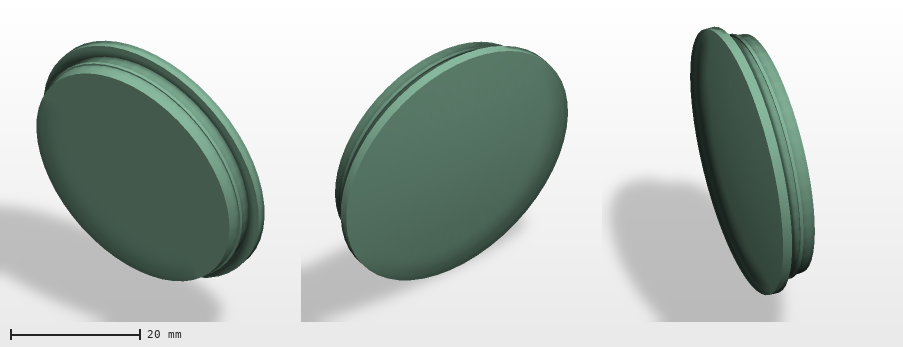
import cadquery as cq
import math


rim_radius = 42.4 / 2
ring_radius = 19.5
neck_radius = 19.2
plug_end_radius = 19.0

dome_height = 1.5
rim_thickness = 1.5
neck_length = 2.0
ring_width = 0.5
plug_length = 2.05

ring_front = plug_length
ring_back = ring_front + ring_width
rim_front = ring_back + neck_length
rim_back = rim_front + rim_thickness
dome_top = rim_back + dome_height

sphere_radius = (rim_radius**2 + dome_height**2) / (2 * dome_height)
dome_mid_radius = rim_radius / 2
dome_mid = dome_top - sphere_radius + math.sqrt(sphere_radius**2 - dome_mid_radius**2)

half_section = (
    cq.Workplane("YZ")
    .moveTo(0, 0)
    .lineTo(0, plug_end_radius)
    .lineTo(ring_front, neck_radius)
    .lineTo(ring_front, ring_radius)
    .lineTo(ring_back, ring_radius)
    .lineTo(ring_back, neck_radius)
    .lineTo(rim_front, neck_radius)
    .lineTo(rim_front, rim_radius)
    .lineTo(rim_back, rim_radius)
    .threePointArc((dome_mid, dome_mid_radius), (dome_top, 0))
    .close()
)

result = half_section.revolve(360, (0, 0, 0), (1, 0, 0))